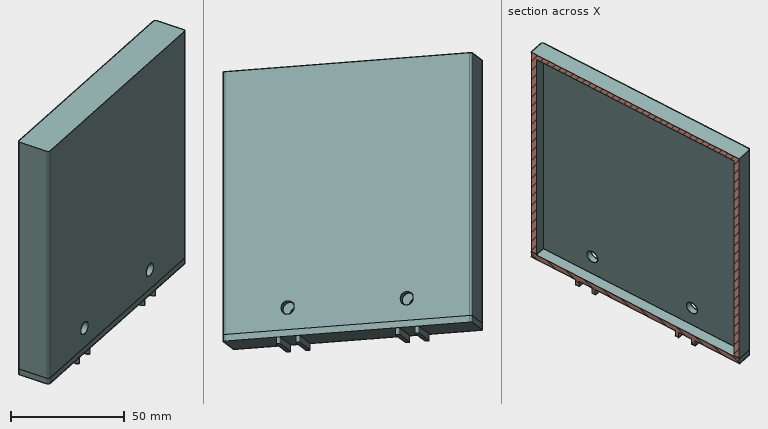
import cadquery as cq

thickness = 16.0
width = 115.0
height = 125.0

foot_height = 3.0
base_height = 3.0
base_bottom = foot_height
housing_bottom = base_bottom + base_height
housing_height = height - housing_bottom

wall = 3.0
corner_radius = 1.0

hole_diameter = 6.0
hole_offset = 27.5
hole_z = 16.0
foot_width = 2 * corner_radius
foot_pair_spacing = 9.0


def rounded_block(bottom, block_height):
    """Block with the full plan outline and rounded upright corners."""
    block = cq.Workplane("XY").workplane(offset=bottom).rect(thickness, width).extrude(block_height)
    return block.edges("|Z").fillet(corner_radius)


def make_housing():
    """Hollow cover, open at the bottom, with two round holes through its thickness."""
    cavity = (
        cq.Workplane("XY")
        .workplane(offset=housing_bottom)
        .rect(thickness - 2 * wall, width - 2 * wall)
        .extrude(housing_height - wall)
    )
    hole_centers = [(-hole_offset, hole_z), (hole_offset, hole_z)]
    holes = (
        cq.Workplane("YZ")
        .pushPoints(hole_centers)
        .circle(hole_diameter / 2)
        .extrude(thickness / 2, both=True)
    )
    return rounded_block(housing_bottom, housing_height).cut(cavity).cut(holes)


def make_base():
    """Base plate standing on four round-ended feet that span its thickness."""
    foot_centers = [
        (0, side * hole_offset + step * foot_pair_spacing / 2)
        for side in (-1, 1)
        for step in (-1, 1)
    ]
    feet = cq.Workplane("XY").pushPoints(foot_centers).slot2D(thickness, foot_width).extrude(foot_height)
    return rounded_block(base_bottom, base_height).union(feet)


housing = make_housing()
base = make_base()

result = cq.Compound.makeCompound([*housing.solids().vals(), *base.solids().vals()])